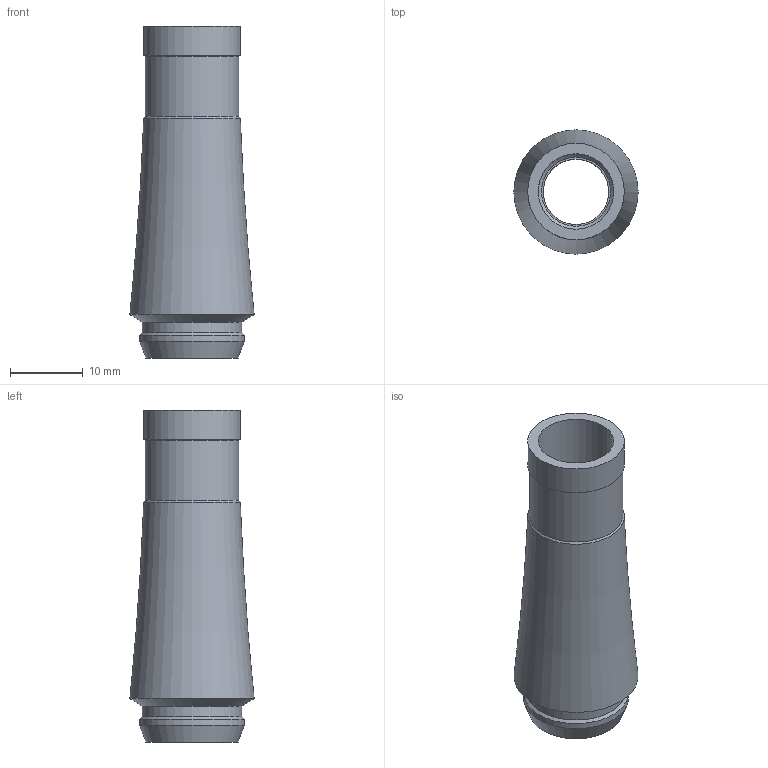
import cadquery as cq

total_height = 45.7
collar_height = 4.0
collar_base_z = total_height - collar_height
collar_chamfer_height = 0.15
grip_top_z = 33.0
grip_shoulder = 0.25
grip_base_z = 6.0
groove_top_z = 4.9
groove_base_z = 3.5
lip_top_z = 3.15
lip_base_z = 2.3

grip_base_radius = 8.55
collar_radius = 6.65
grip_top_radius = collar_radius
neck_radius = 6.45
groove_radius = 6.83
lip_radius = 7.2
tip_radius = 6.35
grip_hollow = 0.22

bore_radius = 5.2
seat_radius = 4.75
through_radius = 4.5
seat_top_z = 25.0
seat_height = bore_radius - seat_radius


def turned_body():
    """Solid outer shape: tapered lip, groove, flared grip, neck and collar."""
    neck_base_z = grip_top_z + grip_shoulder
    grip_mid_z = (grip_base_z + grip_top_z) / 2
    grip_mid_radius = (grip_base_radius + grip_top_radius) / 2 - grip_hollow
    return (
        cq.Workplane("XZ")
        .lineTo(tip_radius, 0)
        .lineTo(lip_radius, lip_base_z)
        .lineTo(lip_radius, lip_top_z)
        .lineTo(groove_radius, groove_base_z)
        .lineTo(groove_radius, groove_top_z)
        .lineTo(grip_base_radius, grip_base_z)
        .threePointArc((grip_mid_radius, grip_mid_z), (grip_top_radius, grip_top_z))
        .lineTo(neck_radius, neck_base_z)
        .lineTo(neck_radius, collar_base_z - collar_chamfer_height)
        .lineTo(collar_radius, collar_base_z)
        .lineTo(collar_radius, total_height)
        .lineTo(0, total_height)
        .close()
        .revolve(360, (0, 0), (0, 1))
    )


def stepped_bore():
    """Wide upper bore, conical seat with a flat ledge, and a narrower through hole."""
    seat_base_z = seat_top_z - seat_height
    return (
        cq.Workplane("XZ")
        .lineTo(through_radius, 0)
        .lineTo(through_radius, seat_base_z)
        .lineTo(seat_radius, seat_base_z)
        .lineTo(bore_radius, seat_top_z)
        .lineTo(bore_radius, total_height)
        .lineTo(0, total_height)
        .close()
        .revolve(360, (0, 0), (0, 1))
    )


result = turned_body().cut(stepped_bore())